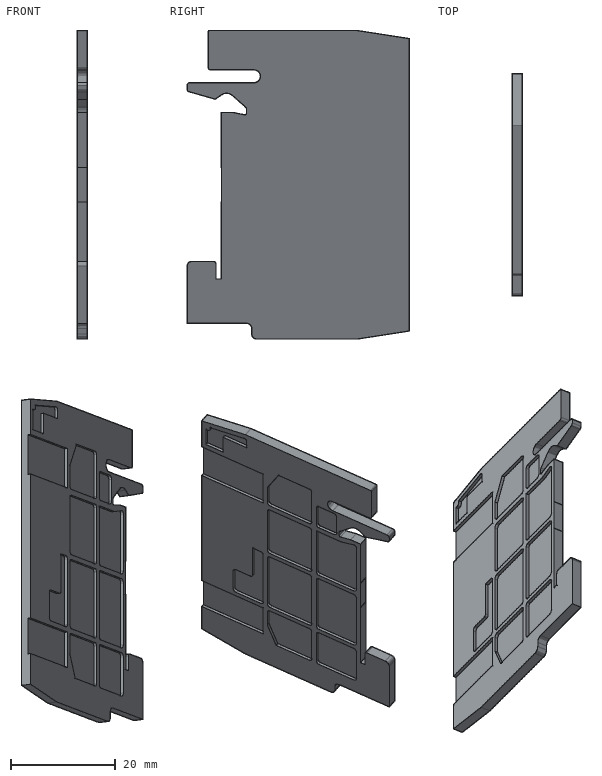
import cadquery as cq
import math

THICKNESS = 2.0
DEPTH = 42.5
HEIGHT = 59.0
POCKET_DEPTH = 0.6

TAPER_RUN = 9.9
TAPER_DROP = 1.55
TAPER_START = DEPTH - TAPER_RUN
TAPER_SLOPE = TAPER_DROP / TAPER_RUN

ROUND_LARGE = 1.0
ROUND_MEDIUM = 0.7
ROUND_SMALL = ROUND_LARGE / 2
ROUND_TINY = 0.25

FRONT_EDGE = 6.5
FRONT_TOP = 43.35
RELIEF_DEPTH = 0.05
RELIEF_BOTTOM = 26.25
RELIEF_TOP = 32.8

BAR_TIP = 4.0
SLOT_BOTTOM = 49.0
SLOT_WIDTH = 2.4
SLOT_TOP = SLOT_BOTTOM + SLOT_WIDTH
SLOT_END = 14.0
SLOT_RADIUS = SLOT_WIDTH / 2
SLOT_ARC_START = SLOT_END - SLOT_RADIUS

ARM_TIP_BOTTOM = 47.4
BARB_Y = 5.35
BARB_Z = 45.85
ARCH_Y = 7.65
ARCH_Z = 47.45
ARCH_RADIUS = 1.7
NOTCH_BACK = 11.3
NOTCH_TOP = 44.2
NOTCH_BOTTOM = 42.85
NOTCH_RAMP_END = 8.75

HOOK_TOP = 14.85
HOOK_RADIUS = 0.9
HOOK_BACK = 5.55
HOOK_GAP_BOTTOM = 11.5
HOOK_BOTTOM = 3.0
STEP_Y = 12.35

BACK_COLUMN = (17.6, 27.6)
FRONT_COLUMN = (7.45, 16.45)
ROW_BOTTOM = (6.0, 14.5)
ROW_LOWER = (15.45, 29.0)
ROW_UPPER = (30.0, 41.65)
ROW_TOP = (42.8, 52.05)

TOP_CUT_Y = 25.1
TOP_CUT_Z = 47.4
BOTTOM_CUT_Y = 25.6
BOTTOM_CUT_Z = 10.45
RAMP_START = 10.8
RAMP_TOP = 42.55

SMALL_POCKET_FRONT = 11.9
SMALL_POCKET_TOP = 48.45

RECESS_FRONT = 28.55
UPPER_RECESS = (42.8, 50.5)
LOWER_RECESS = (7.55, ROW_BOTTOM[1])

L_BACK = 35.35
L_NECK_BACK = 31.0
L_SHOULDER = 21.55
L_TOP = 29.4

CORNER_FRONT = 32.3
CORNER_INNER = 37.6
CORNER_STEP = 40.6
CORNER_BACK = 41.55
CORNER_BOTTOM = 51.6
CORNER_SHOULDER = 55.65
CORNER_ROOF = 56.65


def rounded_prism(corners, length):
    """Extrude from X = 0 a closed YZ outline of (y, z, corner radius) entries."""
    stretches = []
    for i, (y, z, radius) in enumerate(corners):
        corner = cq.Vector(y, z)
        if radius == 0:
            stretches.append((corner, None, corner))
            continue
        before = cq.Vector(*corners[i - 1][:2])
        after = cq.Vector(*corners[(i + 1) % len(corners)][:2])
        to_before = (before - corner).normalized()
        to_after = (after - corner).normalized()
        half_angle = to_before.getAngle(to_after) / 2
        tangent_length = radius / math.tan(half_angle)
        middle_distance = radius / math.sin(half_angle) - radius
        start = corner + to_before * tangent_length
        middle = corner + (to_before + to_after).normalized() * middle_distance
        end = corner + to_after * tangent_length
        stretches.append((start, middle, end))

    first_point = stretches[0][2]
    outline = cq.Workplane("YZ").moveTo(first_point.x, first_point.y)
    for start, middle, end in stretches[1:] + stretches[:1]:
        outline = outline.lineTo(start.x, start.y)
        if middle is not None:
            outline = outline.threePointArc((middle.x, middle.y), (end.x, end.y))
    return outline.close().extrude(length)


def plate():
    """Full-thickness body without pockets, its slot still square-ended."""
    relief_y = FRONT_EDGE + RELIEF_DEPTH
    return rounded_prism(
        [
            (TAPER_START, 0, 0),
            (DEPTH, TAPER_DROP, 0),
            (DEPTH, HEIGHT - TAPER_DROP, 0),
            (TAPER_START, HEIGHT, 0),
            (BAR_TIP, HEIGHT, ROUND_TINY),
            (BAR_TIP, SLOT_TOP, ROUND_SMALL),
            (SLOT_ARC_START, SLOT_TOP, 0),
            (SLOT_ARC_START, SLOT_BOTTOM, 0),
            (0, SLOT_BOTTOM, ROUND_SMALL),
            (0, ARM_TIP_BOTTOM, ROUND_SMALL),
            (BARB_Y, BARB_Z, 0),
            (ARCH_Y, ARCH_Z, ARCH_RADIUS),
            (NOTCH_BACK, NOTCH_TOP, ROUND_SMALL),
            (NOTCH_BACK, NOTCH_BOTTOM, ROUND_TINY),
            (NOTCH_RAMP_END, FRONT_TOP, 0),
            (FRONT_EDGE, FRONT_TOP, 0),
            (FRONT_EDGE, RELIEF_TOP, 0),
            (relief_y, RELIEF_TOP, 0),
            (relief_y, RELIEF_BOTTOM, 0),
            (FRONT_EDGE, RELIEF_BOTTOM, 0),
            (FRONT_EDGE, HOOK_GAP_BOTTOM, 0),
            (HOOK_BACK, HOOK_GAP_BOTTOM, 0),
            (HOOK_BACK, HOOK_TOP, ROUND_SMALL),
            (0, HOOK_TOP, HOOK_RADIUS),
            (0, HOOK_BOTTOM, 0),
            (STEP_Y, HOOK_BOTTOM, ROUND_LARGE),
            (STEP_Y, 0, ROUND_LARGE),
        ],
        THICKNESS,
    )


def slot_end():
    """Cylinder that rounds the closed end of the slot."""
    slot_middle = (SLOT_BOTTOM + SLOT_TOP) / 2
    end_circle = cq.Workplane("YZ").center(SLOT_ARC_START, slot_middle).circle(SLOT_RADIUS)
    return end_circle.extrude(THICKNESS)


def pocket(corners):
    return rounded_prism(corners, POCKET_DEPTH)


def rectangular_pocket(y_range, z_range, front_radius, back_radius):
    front, back = y_range
    bottom, top = z_range
    return pocket(
        [
            (front, bottom, front_radius),
            (back, bottom, back_radius),
            (back, top, back_radius),
            (front, top, front_radius),
        ]
    )


def back_column_pockets():
    front, back = BACK_COLUMN
    top_pocket = pocket(
        [
            (front, ROW_TOP[0], ROUND_SMALL),
            (back, ROW_TOP[0], ROUND_MEDIUM),
            (back, TOP_CUT_Z, 0),
            (TOP_CUT_Y, ROW_TOP[1], 0),
            (front, ROW_TOP[1], ROUND_SMALL),
        ]
    )
    bottom_pocket = pocket(
        [
            (front, ROW_BOTTOM[0], ROUND_SMALL),
            (BOTTOM_CUT_Y, ROW_BOTTOM[0], 0),
            (back, BOTTOM_CUT_Z, 0),
            (back, ROW_BOTTOM[1], ROUND_MEDIUM),
            (front, ROW_BOTTOM[1], ROUND_SMALL),
        ]
    )
    middle_pockets = [
        rectangular_pocket(BACK_COLUMN, row, ROUND_SMALL, ROUND_MEDIUM)
        for row in (ROW_LOWER, ROW_UPPER)
    ]
    return [top_pocket, bottom_pocket] + middle_pockets


def front_column_pockets():
    front, back = FRONT_COLUMN
    ramp_pocket = pocket(
        [
            (front, ROW_UPPER[0], ROUND_MEDIUM),
            (back, ROW_UPPER[0], ROUND_SMALL),
            (back, ROW_UPPER[1], 0),
            (RAMP_START, ROW_UPPER[1], 0),
            (front, RAMP_TOP, ROUND_SMALL),
        ]
    )
    small_pocket = rectangular_pocket(
        (SMALL_POCKET_FRONT, back), (ROW_TOP[0], SMALL_POCKET_TOP), ROUND_MEDIUM, ROUND_SMALL
    )
    lower_pockets = [
        rectangular_pocket(FRONT_COLUMN, row, ROUND_MEDIUM, ROUND_SMALL)
        for row in (ROW_BOTTOM, ROW_LOWER)
    ]
    return [ramp_pocket, small_pocket] + lower_pockets


def back_edge_recesses():
    return [
        rectangular_pocket((RECESS_FRONT, DEPTH), z_range, 0, 0)
        for z_range in (UPPER_RECESS, LOWER_RECESS)
    ]


def l_pocket():
    return pocket(
        [
            (RECESS_FRONT, ROW_LOWER[0], ROUND_SMALL),
            (L_BACK, ROW_LOWER[0], ROUND_MEDIUM),
            (L_BACK, L_SHOULDER, ROUND_MEDIUM),
            (L_NECK_BACK, L_SHOULDER, ROUND_SMALL),
            (L_NECK_BACK, L_TOP, 0),
            (RECESS_FRONT, L_TOP, ROUND_SMALL),
        ]
    )


def corner_pocket():
    """Stepped pocket whose roof runs parallel to the top taper."""
    roof_front = CORNER_ROOF + (CORNER_STEP - CORNER_FRONT) * TAPER_SLOPE
    return pocket(
        [
            (CORNER_INNER, CORNER_BOTTOM, 0),
            (CORNER_BACK, CORNER_BOTTOM, 0),
            (CORNER_BACK, CORNER_SHOULDER, 0),
            (CORNER_STEP, CORNER_SHOULDER, ROUND_SMALL),
            (CORNER_STEP, CORNER_ROOF, 0),
            (CORNER_FRONT, roof_front, ROUND_SMALL),
            (CORNER_FRONT, CORNER_SHOULDER, 0),
            (CORNER_INNER, CORNER_SHOULDER, 0),
        ]
    )


result = plate().cut(slot_end())
pockets = back_column_pockets() + front_column_pockets() + back_edge_recesses()
pockets += [l_pocket(), corner_pocket()]
for cutter in pockets:
    result = result.cut(cutter)